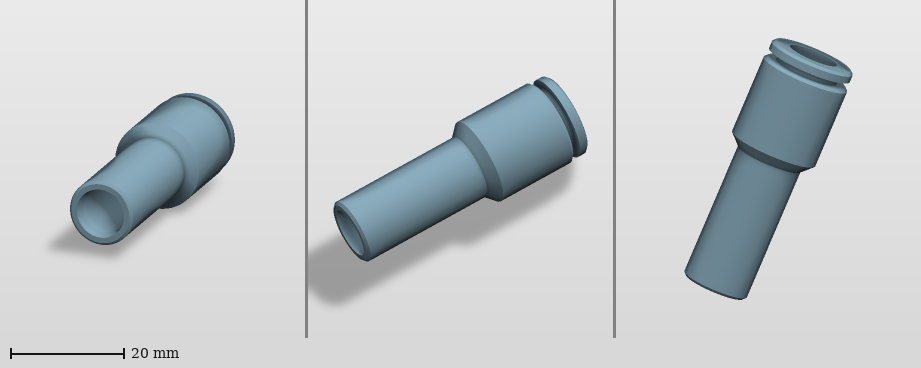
import cadquery as cq


stem_radius = 6.0
stem_length = 25.0
bore_radius = 4.5

body_radius = 8.0
body_length = 17.0
shoulder_length = 2.0

collar_radius = 7.75
collar_thickness = 1.85
neck_radius = 5.8
neck_gap = 1.3
neck_bevel = 0.25

edge_bevel = 0.5

shoulder_start = stem_length
shoulder_end = shoulder_start + shoulder_length
body_end = stem_length + body_length
collar_start = body_end + neck_gap
collar_end = collar_start + collar_thickness


def make_outer_shape():
    """Stem, body and collar, revolved as one solid (points are radius, Y)."""
    profile = [
        (0, 0),
        (stem_radius - edge_bevel, 0),
        (stem_radius, edge_bevel),
        (stem_radius, shoulder_start),
        (body_radius, shoulder_end),
        (body_radius, body_end - edge_bevel),
        (body_radius - edge_bevel, body_end),
        (neck_radius, body_end),
        (neck_radius, collar_start - neck_bevel),
        (neck_radius + neck_bevel, collar_start),
        (collar_radius, collar_start),
        (collar_radius, collar_end - edge_bevel),
        (collar_radius - edge_bevel, collar_end),
        (0, collar_end),
    ]
    return cq.Workplane("XY").polyline(profile).close().revolve(360, (0, 0, 0), (0, 1, 0))


def make_bore():
    """Cylinder for the straight hole through the full length."""
    return cq.Workplane("XZ").circle(bore_radius).extrude(-collar_end)


result = make_outer_shape().cut(make_bore())